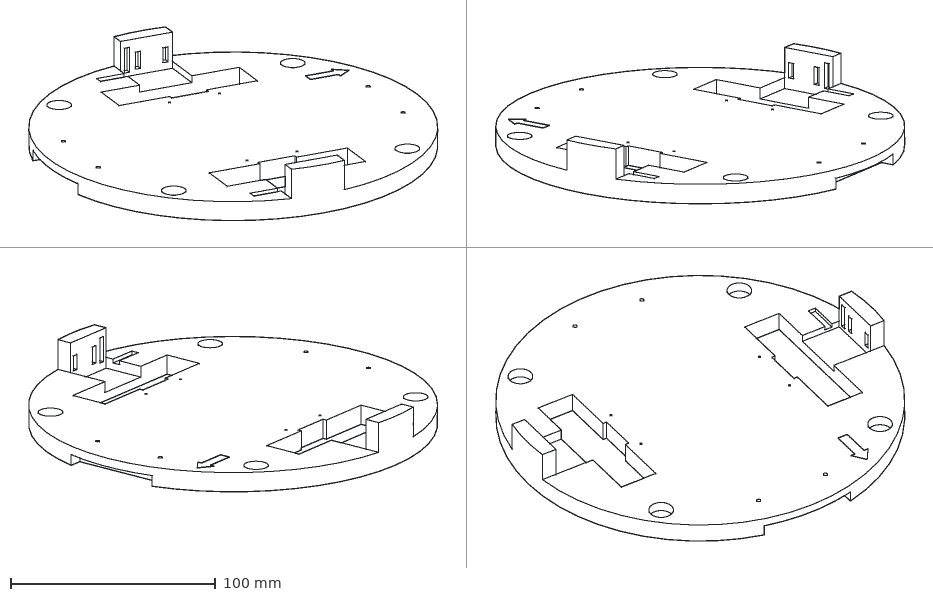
import cadquery as cq

DISC_RADIUS = 100.0
PLATE_THICKNESS = 10.0
TOTAL_HEIGHT = 25.5
OVERCUT = 2.0

WINDOW_INNER_X = 50.0
WINDOW_OUTER_X = 70.0
WINDOW_LENGTH = 75.2
AXLE_NOTCH_DEPTH = 2.0
AXLE_NOTCH_LENGTH = 20.0

WALL_INNER_X = 91.5
WALL_MIN_Y = -16.5
WALL_MAX_Y = 11.8
WALL_LENGTH = WALL_MAX_Y - WALL_MIN_Y
WALL_CENTER_Y = (WALL_MAX_Y + WALL_MIN_Y) / 2
LEFT_RECESS_DEPTH = 3.5
RIGHT_RECESS_DEPTH = 5.5

WALL_SLOTS = [
    (8.0, 10.2, 18.0),
    (-7.0, 9.5, 18.5),
    (-13.0, 8.5, 21.5),
]
WALL_SLOT_WIDTH = 2.8
WALL_SLOT_DEPTH = 3.0

GROOVE_CENTER_X = 85.2
GROOVE_WIDTH = 4.0
GROOVE_LENGTH = 15.0
GROOVE_DEPTH = 2.0

POCKET_CENTER = 63.5
POCKET_DIAMETER = 12.0
POCKET_DEPTH = 5.0

MOUNT_HOLE_X = 19.5
MOUNT_HOLE_Y = 83.0
MOUNT_HOLE_DIAMETER = 2.0
PILOT_HOLE_X = 43.2
PILOT_HOLE_Y = 13.5
PILOT_HOLE_DIAMETER = 1.0

RIM_NOTCH_WIDTH = 50.0
RIM_NOTCH_HEIGHT = 5.5
RIM_NOTCH_Y = 90.0

ARROW_X = -43.0
ARROW_TIP_Y = 84.0
ARROW_HEAD_Y = 77.0
ARROW_TAIL_Y = 61.8
ARROW_HEAD_WIDTH = 10.0
ARROW_SHAFT_WIDTH = 5.5
ARROW_DEPTH = 0.2


def block(x_min, x_max, y_center, y_length, z_min, z_max):
    """Box given by its x range, y center and length, and z range."""
    return (
        cq.Workplane("XY", origin=((x_min + x_max) / 2, y_center, z_min))
        .rect(x_max - x_min, y_length)
        .extrude(z_max - z_min)
    )


def mirrored_pair(body):
    """The body together with its mirror image on the -X side."""
    return body.union(body.mirror("YZ"))


def disc(height):
    return cq.Workplane("XY").circle(DISC_RADIUS).extrude(height)


def sensor_wall():
    """Upright wall on the +X side, rounded outside to follow the disc."""
    envelope = block(WALL_INNER_X, DISC_RADIUS, WALL_CENTER_Y, WALL_LENGTH, 0, TOTAL_HEIGHT)
    return envelope.intersect(disc(TOTAL_HEIGHT))


def wall_slot(y_center, bottom, top):
    """Blind slot cutter sunk into the inner face of the +X wall."""
    slot_end_x = WALL_INNER_X + WALL_SLOT_DEPTH
    return block(WALL_INNER_X, slot_end_x, y_center, WALL_SLOT_WIDTH, bottom, top)


def wheel_window():
    """Through window with the shallow axle notch in its inner edge."""
    top = PLATE_THICKNESS
    window = block(WINDOW_INNER_X, WINDOW_OUTER_X, 0, WINDOW_LENGTH, 0, top)
    notch_x = WINDOW_INNER_X - AXLE_NOTCH_DEPTH
    return window.union(block(notch_x, WINDOW_OUTER_X, 0, AXLE_NOTCH_LENGTH, 0, top))


def recess_and_groove(recess_depth):
    """Cutter on the +X side: recess from window to wall, with the wire groove leading off it."""
    top = PLATE_THICKNESS
    floor_z = top - recess_depth
    recess = block(WINDOW_OUTER_X, WALL_INNER_X, WALL_CENTER_Y, WALL_LENGTH, floor_z, top)
    groove = block(
        GROOVE_CENTER_X - GROOVE_WIDTH / 2,
        GROOVE_CENTER_X + GROOVE_WIDTH / 2,
        WALL_MIN_Y - GROOVE_LENGTH / 2,
        GROOVE_LENGTH,
        top - GROOVE_DEPTH,
        top,
    )
    return recess.union(groove)


def hole_pattern(spacing_x, spacing_y, diameter, depth):
    """Four round cutters, one in each quadrant, sunk from the plate top."""
    return (
        cq.Workplane("XY", origin=(0, 0, PLATE_THICKNESS))
        .rect(2 * spacing_x, 2 * spacing_y, forConstruction=True)
        .vertices()
        .circle(diameter / 2)
        .extrude(-depth)
    )


def rim_notches():
    """Notches open to the bottom and to the rim at both ends of the Y axis."""
    half_width = RIM_NOTCH_WIDTH / 2
    length = DISC_RADIUS + OVERCUT - RIM_NOTCH_Y
    center_y = RIM_NOTCH_Y + length / 2
    notch = block(-half_width, half_width, center_y, length, 0, RIM_NOTCH_HEIGHT)
    return notch.union(notch.mirror("XZ"))


def direction_arrow():
    half_head = ARROW_HEAD_WIDTH / 2
    half_shaft = ARROW_SHAFT_WIDTH / 2
    outline = [
        (0, ARROW_TIP_Y),
        (half_head, ARROW_HEAD_Y),
        (half_shaft, ARROW_HEAD_Y),
        (half_shaft, ARROW_TAIL_Y),
        (-half_shaft, ARROW_TAIL_Y),
        (-half_shaft, ARROW_HEAD_Y),
        (-half_head, ARROW_HEAD_Y),
    ]
    return (
        cq.Workplane("XY", origin=(ARROW_X, 0, PLATE_THICKNESS))
        .polyline(outline)
        .close()
        .extrude(-ARROW_DEPTH)
    )


result = disc(PLATE_THICKNESS)
result = result.cut(mirrored_pair(wheel_window()))
result = result.cut(recess_and_groove(RIGHT_RECESS_DEPTH))
result = result.cut(recess_and_groove(LEFT_RECESS_DEPTH).mirror("YZ"))
result = result.cut(hole_pattern(POCKET_CENTER, POCKET_CENTER, POCKET_DIAMETER, POCKET_DEPTH))
result = result.cut(hole_pattern(MOUNT_HOLE_X, MOUNT_HOLE_Y, MOUNT_HOLE_DIAMETER, PLATE_THICKNESS))
result = result.cut(hole_pattern(PILOT_HOLE_X, PILOT_HOLE_Y, PILOT_HOLE_DIAMETER, PLATE_THICKNESS))
result = result.cut(rim_notches())
result = result.cut(direction_arrow())
result = result.union(mirrored_pair(sensor_wall()))
for y_center, bottom, top in WALL_SLOTS:
    result = result.cut(mirrored_pair(wall_slot(y_center, bottom, top)))